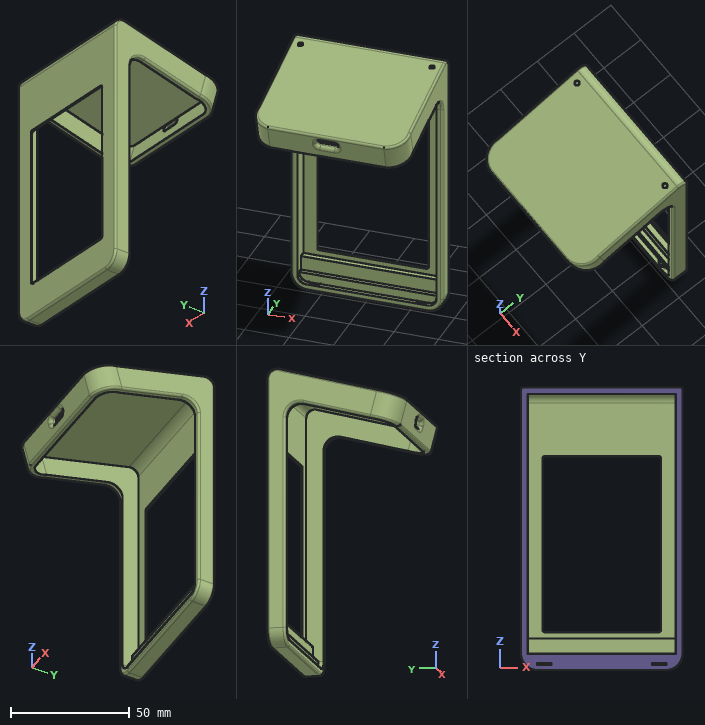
import cadquery as cq
import math

WIDTH = 68.5
HEIGHT = 119.7
REACH = 59.0
WALL_DEPTH = 8.1
FOOT_RADIUS = 7.1
RIM = 3.0
WALL_SKIN = 0.6
EDGE_ROUND = 1.0

TILT = 15.0
HOOD_THICKNESS = 12.2
HOOD_SKIN = 3.0
TOP_RADIUS = 4.2
THROAT_RADIUS = 6.0

CORNER_WIDTH = 8.1
CORNER_LENGTH = 11.5
CORNER_RADIUS = 9.9

WINDOW_WIDTH = 50.0
WINDOW_BOTTOM = 16.2
WINDOW_TOP = 90.5
WINDOW_RADIUS = 1.2

LEDGES = [(13.5, 3.6), (7.1, 5.9)]

PIN_DIAMETER = 2.0
PIN_DEPTH = 0.6
PIN_X = 29.6
PIN_ALONG = 9.1

FOOT_HOLE_DIAMETER = 6.0
FOOT_HOLE_DEPTH = 0.6
FOOT_HOLE_X = 24.3

PORT_WIDTH = 9.5
PORT_HEIGHT = 3.2
PORT_CORNER = 1.4
PORT_ROUND = 1.7
PORT_DROP = 4.9
PORT_DEPTH = RIM + 1.2

COS_TILT = math.cos(math.radians(TILT))
SIN_TILT = math.sin(math.radians(TILT))

TOP_CORNER_Z = HEIGHT + TOP_RADIUS * (COS_TILT - 1 + (1 + SIN_TILT) * SIN_TILT / COS_TILT)
HOOD_LENGTH = EDGE_ROUND + (REACH - EDGE_ROUND * (1 - SIN_TILT)) / COS_TILT

UP_NORMAL = cq.Vector(0, -SIN_TILT, COS_TILT)
OUTWARD = cq.Vector(0, -COS_TILT, -SIN_TILT)
PARALLEL = 0.99


def hood_point(along, drop):
    """(y, z) of a point so far down the hood's slope and so far below its top plane."""
    y = -along * COS_TILT + drop * SIN_TILT
    z = TOP_CORNER_Z - along * SIN_TILT - drop * COS_TILT
    return (y, z)


def along_at(y, drop):
    """Distance down the slope at which a line at this drop reaches the given y."""
    return (drop * SIN_TILT - y) / COS_TILT


def hood_plane(drop):
    """Plane parallel to the hood top; local x is X and local y runs back up the slope."""
    return cq.Plane(origin=(0, *hood_point(0, drop)), xDir=(1, 0, 0), normal=UP_NORMAL.toTuple())


def bent_solid(inset, back_y, top_drop, foot_radius, top_radius):
    """L-shaped solid from a back plane and a top plane to the inner faces of the part.

    Inset shrinks the sides, the foot and the hood end.
    """
    half_width = WIDTH / 2 - inset
    shoulder = HOOD_LENGTH - CORNER_LENGTH
    throat = hood_point(along_at(-WALL_DEPTH, HOOD_THICKNESS), HOOD_THICKNESS)
    ridge = hood_point(along_at(back_y, top_drop), top_drop)
    profile = [
        (back_y, inset),
        (-WALL_DEPTH, inset),
        throat,
        hood_point(shoulder, HOOD_THICKNESS),
        hood_point(shoulder, top_drop),
        ridge,
    ]
    bend = cq.Workplane("YZ").polyline(profile).close().extrude(half_width, both=True)
    bend = bend.edges("|Y").edges("<Z").fillet(foot_radius)
    for corner, radius in ((throat, THROAT_RADIUS), (ridge, top_radius)):
        bend = bend.edges("|X").edges(cq.NearestToPointSelector((0, *corner))).fillet(radius)

    end = HOOD_LENGTH - inset
    end_half_width = WIDTH / 2 - CORNER_WIDTH
    corner_radius = CORNER_RADIUS - inset
    nose = (
        cq.Workplane(hood_plane(HOOD_THICKNESS))
        .moveTo(half_width, -shoulder)
        .radiusArc((end_half_width, -end), corner_radius)
        .lineTo(-end_half_width, -end)
        .radiusArc((-half_width, -shoulder), corner_radius)
        .close()
        .extrude(HOOD_THICKNESS - top_drop)
    )
    return bend.union(nose)


def is_rim_edge(edge):
    """True for edges around the outline, false for seams across the thickness or the full width."""
    if edge.geomType() != "LINE":
        return True
    direction = edge.tangentAt(0)
    across_hood = abs(direction.dot(UP_NORMAL)) > PARALLEL
    across_wall = abs(direction.y) > PARALLEL
    full_width = edge.Length() > WIDTH - 1.2
    return not (across_hood or across_wall or full_width)


def outer_body():
    body = bent_solid(0, 0, 0, FOOT_RADIUS, TOP_RADIUS)
    rims = [edge for edge in body.edges().vals() if is_rim_edge(edge)]
    return body.newObject(rims).fillet(EDGE_ROUND)


def ledges():
    steps = cq.Workplane("XY")
    for top, thickness in LEDGES:
        step = cq.Workplane("XY").box(
            WIDTH - 2 * RIM, thickness - WALL_SKIN, top - RIM, centered=(True, False, False)
        )
        steps = steps.union(step.translate((0, -thickness, RIM)))
    return steps


def recess():
    """Hollow behind the rim, open on the inner faces, with the ledges left standing."""
    hollow = bent_solid(RIM, -WALL_SKIN, HOOD_SKIN, FOOT_RADIUS - RIM, TOP_RADIUS - WALL_SKIN)
    return hollow.cut(ledges())


def window():
    height = WINDOW_TOP - WINDOW_BOTTOM
    return (
        cq.Workplane("XZ")
        .center(0, WINDOW_BOTTOM + height / 2)
        .rect(WINDOW_WIDTH, height)
        .extrude(WALL_DEPTH)
        .edges("|Y")
        .fillet(WINDOW_RADIUS)
    )


def pin_holes():
    return (
        cq.Workplane(hood_plane(0))
        .pushPoints([(x, -PIN_ALONG) for x in (-PIN_X, PIN_X)])
        .circle(PIN_DIAMETER / 2)
        .extrude(-PIN_DEPTH)
    )


def foot_holes():
    return (
        cq.Workplane("XY")
        .pushPoints([(x, -WALL_DEPTH / 2) for x in (-FOOT_HOLE_X, FOOT_HOLE_X)])
        .circle(FOOT_HOLE_DIAMETER / 2)
        .extrude(FOOT_HOLE_DEPTH)
        .translate((0, 0, RIM - FOOT_HOLE_DEPTH))
    )


def port():
    end_plane = cq.Plane(
        origin=(0, *hood_point(HOOD_LENGTH, PORT_DROP)), xDir=(1, 0, 0), normal=OUTWARD.toTuple()
    )
    return (
        cq.Workplane(end_plane)
        .rect(PORT_WIDTH, PORT_HEIGHT)
        .extrude(-PORT_DEPTH)
        .edges(cq.ParallelDirSelector(OUTWARD))
        .fillet(PORT_CORNER)
    )


def round_port_mouth(part):
    """Round the outer edge of the port where it opens in the hood's end face."""
    end_faces = part.faces(cq.ParallelDirSelector(OUTWARD))
    end_face = end_faces.faces(cq.DirectionMinMaxSelector(OUTWARD))
    mouth = end_face.val().innerWires()[0]
    return part.newObject(mouth.Edges()).fillet(PORT_ROUND)


result = outer_body().cut(recess()).cut(window()).cut(pin_holes()).cut(foot_holes()).cut(port())
result = round_port_mouth(result)